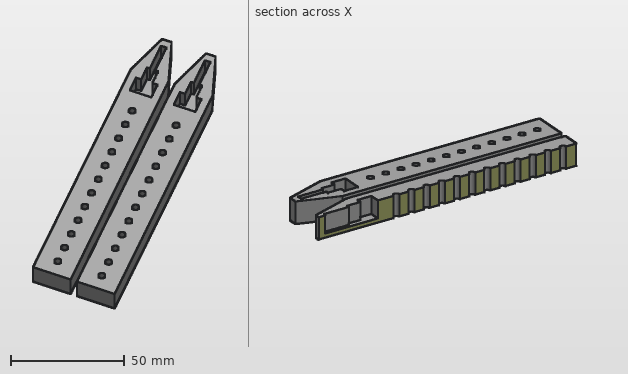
import cadquery as cq

LENGTH = 136.2
WIDTH = 18.0
THICKNESS = 11.2
GAP = 3.0

TIP_WIDTH = 4.5
TAPER_LENGTH = 20.5

HOLE_DIAMETER = 3.0
HOLE_COUNT = 12
HOLE_END_MARGIN = 7.1
HOLE_ROW_SPAN = 88.0
HOLE_PITCH = HOLE_ROW_SPAN / (HOLE_COUNT - 1)

POCKET_DEPTH = 8.9
POCKET_START = 3.7
POCKET_STEPS = [
    (2.6, 16.9),
    (5.3, 23.8),
    (10.2, 31.2),
]


def bar_blank():
    """Straight bar from y = 0, narrowing to a blunt tip at y = LENGTH."""
    shoulder_y = LENGTH - TAPER_LENGTH
    outline = [
        (-WIDTH / 2, 0),
        (WIDTH / 2, 0),
        (WIDTH / 2, shoulder_y),
        (TIP_WIDTH / 2, LENGTH),
        (-TIP_WIDTH / 2, LENGTH),
        (-WIDTH / 2, shoulder_y),
    ]
    return cq.Workplane("XY").polyline(outline).close().extrude(THICKNESS)


def cut_holes(bar):
    """Drill the evenly spaced row of holes through the bar."""
    centres = [(0, HOLE_END_MARGIN + i * HOLE_PITCH) for i in range(HOLE_COUNT)]
    holes = cq.Workplane("XY").pushPoints(centres).circle(HOLE_DIAMETER / 2).extrude(THICKNESS)
    return bar.cut(holes)


def cut_pocket(bar):
    """Sink the pocket into the top face, widening in steps away from the tip."""
    floor = cq.Workplane("XY").workplane(offset=THICKNESS - POCKET_DEPTH)
    front = POCKET_START
    for width, rear in POCKET_STEPS:
        middle_y = LENGTH - (front + rear) / 2
        step = floor.center(0, middle_y).rect(width, rear - front).extrude(POCKET_DEPTH)
        bar = bar.cut(step)
        front = rear
    return bar


def make_bar(centre_x):
    """One finished bar with its centre line at the given x."""
    bar = cut_pocket(cut_holes(bar_blank()))
    return bar.translate((centre_x, 0, 0))


BAR_OFFSET = (WIDTH + GAP) / 2
bars = [make_bar(side * BAR_OFFSET) for side in (-1, 1)]

result = cq.Compound.makeCompound([bar.val() for bar in bars])